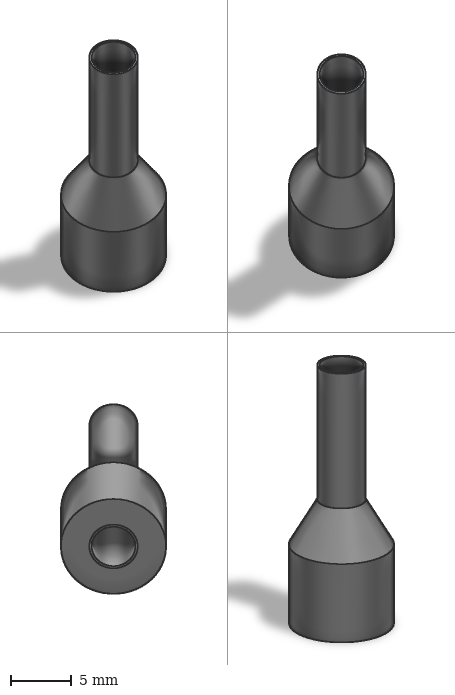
import cadquery as cq

total_height = 23.0
collar_diameter = 8.7
collar_height = 7.0
cone_height = 4.0
tube_diameter = 4.0
tube_wall = 0.2

collar_radius = collar_diameter / 2
tube_radius = tube_diameter / 2
bore_radius = tube_radius - tube_wall
cone_top = collar_height + cone_height


def make_tube():
    """Thin metal tube, open at both ends, running the full height."""
    return (
        cq.Workplane("XY")
        .circle(tube_radius)
        .circle(bore_radius)
        .extrude(total_height)
    )


def make_collar():
    """Insulating collar around the tube, tapering to a sharp edge on it."""
    half_section = (
        cq.Workplane("XZ")
        .moveTo(tube_radius, 0)
        .lineTo(collar_radius, 0)
        .lineTo(collar_radius, collar_height)
        .lineTo(tube_radius, cone_top)
        .close()
    )
    return half_section.revolve(360, (0, 0, 0), (0, 1, 0))


tube = make_tube()
collar = make_collar()

result = cq.Compound.makeCompound([tube.val(), collar.val()])